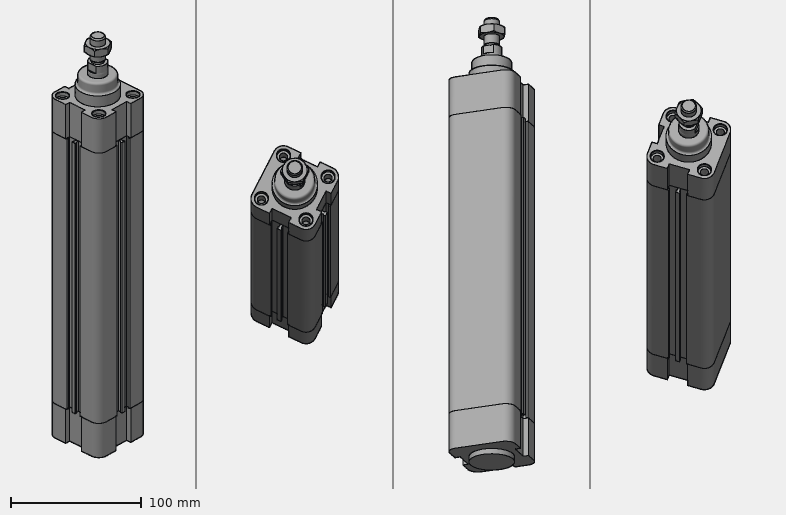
import cadquery as cq
import math

BODY_SIDE = 54.0
CORNER_RADIUS = 8.0
HALF_SIDE = BODY_SIDE / 2

TOTAL_LENGTH = 363.0
SPIGOT_HEIGHT = 4.5
CAP_HEIGHT = 31.0
FRONT_CAP_TOP = 309.3
REAR_CAP_TOP = SPIGOT_HEIGHT + CAP_HEIGHT
FRONT_CAP_BOTTOM = FRONT_CAP_TOP - CAP_HEIGHT

SLOT_ANGLES = (-90, 0, 90)
CAP_SLOT_WIDTH = 16.5
SLOT_DEPTH = 4.5
SLOT_MOUTH_WIDTH = 14.0
SLOT_LIP = 1.8
RIB_HEAD_WIDTH = 3.3
RIB_STEM_WIDTH = 2.0

SCREW_OFFSET = HALF_SIDE - CORNER_RADIUS
RECESS_DIAMETER = 10.0
RECESS_DEPTH = 3.5
RECESS_MOUTH_DIAMETER = 11.0
RECESS_MOUTH_DEPTH = 0.5
SCREW_HOLE_DIAMETER = 6.0
SCREW_HOLE_DEPTH = 14.5
DRILL_POINT_ANGLE = 118

COLLAR_DIAMETER = 35.0
COLLAR_TOP = 319.0
BOSS_DIAMETER = 31.0
BOSS_TOP = 329.0
BOSS_FILLET = 1.8

ROD_DIAMETER = 16.0
ROD_TIP_DIAMETER = 15.5
ROD_TAPER_BOTTOM = 332.0
FLAT_BOTTOM = 333.2
ROD_SHOULDER = 339.8
FLAT_WIDTH = 13.0
THREAD_DIAMETER = 12.0
THREAD_BOTTOM = 342.0
THREAD_CHAMFER_HEIGHT = 1.5
THREAD_TIP_DIAMETER = 10.0
NECK_DIAMETER = 10.0

NUT_FLATS = 19.0
NUT_BOTTOM = 349.2
NUT_HEIGHT = 7.0
NUT_CHAMFER_ANGLE = 30


def cylinder(diameter, bottom, top):
    return cq.Workplane("XY").workplane(offset=bottom).circle(diameter / 2).extrude(top - bottom)


def cone(bottom_diameter, top_diameter, bottom, top):
    solid = cq.Solid.makeCone(bottom_diameter / 2, top_diameter / 2, top - bottom, cq.Vector(0, 0, bottom))
    return cq.Workplane(solid)


def square_block(bottom, top):
    block = cq.Workplane("XY").box(BODY_SIDE, BODY_SIDE, top - bottom, centered=(True, True, False))
    return block.edges("|Z").fillet(CORNER_RADIUS).translate((0, 0, bottom))


def side_bar(width, inner, outer, bottom, top):
    """Upright bar centred on the -Y side, between two distances from the axis."""
    bar = cq.Workplane("XY").box(width, outer - inner, top - bottom, centered=(True, False, False))
    return bar.translate((0, -outer, bottom))


def cut_on_slotted_sides(body, slot):
    for angle in SLOT_ANGLES:
        body = body.cut(slot.rotate((0, 0, 0), (0, 0, 1), angle))
    return body


def make_cap_block(bottom, top):
    slot = side_bar(CAP_SLOT_WIDTH, HALF_SIDE - SLOT_DEPTH, HALF_SIDE, bottom, top)
    return cut_on_slotted_sides(square_block(bottom, top), slot)


def make_tube():
    floor = HALF_SIDE - SLOT_DEPTH
    lip = HALF_SIDE - SLOT_LIP
    bottom, top = REAR_CAP_TOP, FRONT_CAP_BOTTOM
    slot = side_bar(CAP_SLOT_WIDTH, floor, lip, bottom, top)
    slot = slot.union(side_bar(SLOT_MOUTH_WIDTH, lip, HALF_SIDE, bottom, top))
    slot = slot.cut(side_bar(RIB_STEM_WIDTH, floor, HALF_SIDE, bottom, top))
    slot = slot.cut(side_bar(RIB_HEAD_WIDTH, lip, HALF_SIDE, bottom, top))
    return cut_on_slotted_sides(square_block(bottom, top), slot)


def make_boss():
    """Collar and boss turned in one, with a fillet at the root and a rounded top edge."""
    collar, boss, fillet = COLLAR_DIAMETER / 2, BOSS_DIAMETER / 2, BOSS_FILLET
    diagonal = fillet * (1 - math.sqrt(0.5))
    profile = (
        cq.Workplane("XZ")
        .moveTo(0, FRONT_CAP_TOP)
        .lineTo(collar, FRONT_CAP_TOP)
        .lineTo(collar, COLLAR_TOP)
        .lineTo(boss + fillet, COLLAR_TOP)
        .threePointArc((boss + diagonal, COLLAR_TOP + diagonal), (boss, COLLAR_TOP + fillet))
        .lineTo(boss, BOSS_TOP - fillet)
        .threePointArc((boss - diagonal, BOSS_TOP - diagonal), (boss - fillet, BOSS_TOP))
        .lineTo(0, BOSS_TOP)
        .close()
    )
    return profile.revolve(360, (0, 0, 0), (0, 1, 0))


def make_screw_recess():
    hole_bottom = FRONT_CAP_TOP - SCREW_HOLE_DEPTH
    point_height = SCREW_HOLE_DIAMETER / 2 / math.tan(math.radians(DRILL_POINT_ANGLE / 2))
    recess = cylinder(RECESS_DIAMETER, FRONT_CAP_TOP - RECESS_DEPTH, FRONT_CAP_TOP)
    mouth_bottom = FRONT_CAP_TOP - RECESS_MOUTH_DEPTH
    recess = recess.union(cone(RECESS_DIAMETER, RECESS_MOUTH_DIAMETER, mouth_bottom, FRONT_CAP_TOP))
    recess = recess.union(cylinder(SCREW_HOLE_DIAMETER, hole_bottom, FRONT_CAP_TOP))
    return recess.union(cone(0, SCREW_HOLE_DIAMETER, hole_bottom - point_height, hole_bottom))


def make_front_cap():
    cap = make_cap_block(FRONT_CAP_BOTTOM, FRONT_CAP_TOP).union(make_boss())
    recess = make_screw_recess()
    for x in (-SCREW_OFFSET, SCREW_OFFSET):
        for y in (-SCREW_OFFSET, SCREW_OFFSET):
            cap = cap.cut(recess.translate((x, y, 0)))
    return cap.cut(cylinder(ROD_DIAMETER, FRONT_CAP_BOTTOM, BOSS_TOP))


def make_rear_cap():
    cap = make_cap_block(SPIGOT_HEIGHT, REAR_CAP_TOP)
    return cap.union(cylinder(COLLAR_DIAMETER, 0, SPIGOT_HEIGHT))


def make_rod():
    rod = cylinder(ROD_DIAMETER, FRONT_CAP_BOTTOM, ROD_TAPER_BOTTOM)
    rod = rod.union(cone(ROD_DIAMETER, ROD_TIP_DIAMETER, ROD_TAPER_BOTTOM, FLAT_BOTTOM))
    wrench_slab = cq.Workplane("XY").workplane(offset=FLAT_BOTTOM).rect(ROD_DIAMETER, FLAT_WIDTH)
    wrench_slab = wrench_slab.extrude(ROD_SHOULDER - FLAT_BOTTOM)
    rod = rod.union(cylinder(ROD_TIP_DIAMETER, FLAT_BOTTOM, ROD_SHOULDER).intersect(wrench_slab))
    rod = rod.union(cylinder(NECK_DIAMETER, ROD_SHOULDER, THREAD_BOTTOM))
    chamfer_bottom = TOTAL_LENGTH - THREAD_CHAMFER_HEIGHT
    rod = rod.union(cylinder(THREAD_DIAMETER, THREAD_BOTTOM, chamfer_bottom))
    return rod.union(cone(THREAD_DIAMETER, THREAD_TIP_DIAMETER, chamfer_bottom, TOTAL_LENGTH))


def make_nut():
    """Hexagon nut with corners on the X axis, chamfered at both ends."""
    corners = NUT_FLATS / math.cos(math.pi / 6)
    nut_top = NUT_BOTTOM + NUT_HEIGHT
    chamfer_height = (corners - NUT_FLATS) / 2 * math.tan(math.radians(NUT_CHAMFER_ANGLE))
    envelope = cylinder(corners, NUT_BOTTOM + chamfer_height, nut_top - chamfer_height)
    envelope = envelope.union(cone(NUT_FLATS, corners, NUT_BOTTOM, NUT_BOTTOM + chamfer_height))
    envelope = envelope.union(cone(corners, NUT_FLATS, nut_top - chamfer_height, nut_top))
    nut = cq.Workplane("XY").workplane(offset=NUT_BOTTOM).polygon(6, corners).extrude(NUT_HEIGHT)
    return nut.intersect(envelope).cut(cylinder(THREAD_DIAMETER, NUT_BOTTOM, nut_top))


tube = make_tube()
front_cap = make_front_cap()
rear_cap = make_rear_cap()
rod = make_rod()
nut = make_nut()

result = cq.Compound.makeCompound([tube.val(), front_cap.val(), rear_cap.val(), rod.val(), nut.val()])